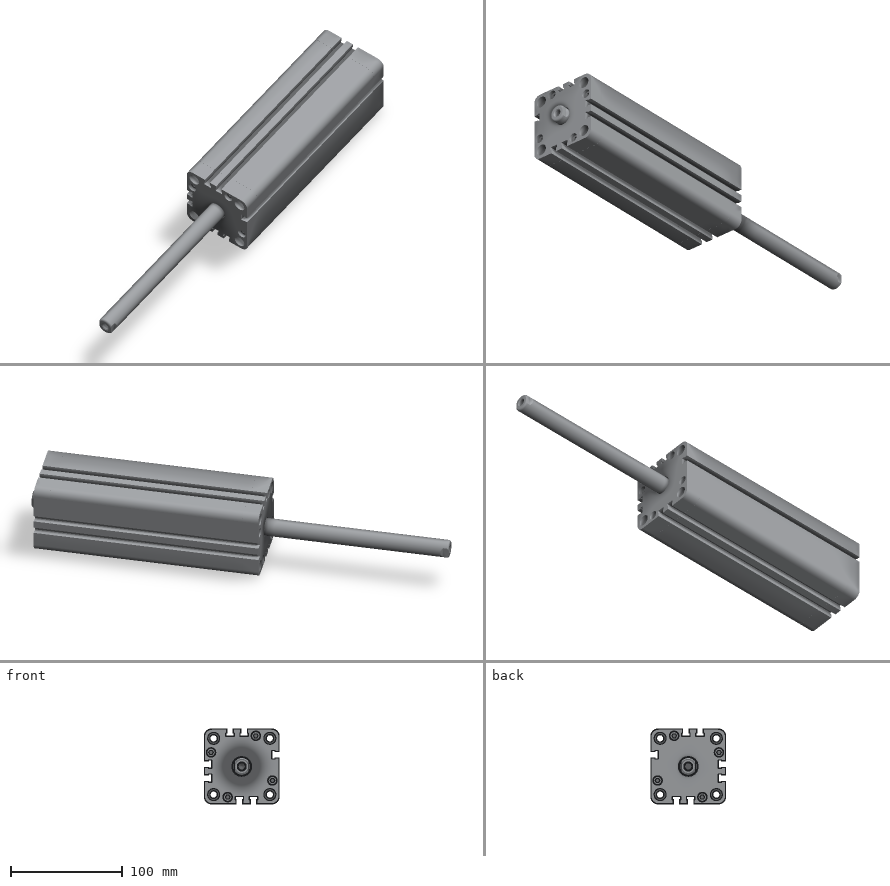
import cadquery as cq

total_length = 380.5
body_size = 67.0
body_length = 205.0
rear_rod_length = 7.5
corner_radius = 7.0

rear_y = total_length / 2
body_rear_y = rear_y - rear_rod_length
body_front_y = body_rear_y - body_length
front_y = rear_y - total_length
half_size = body_size / 2

cap_length = 15.0
parting_width = 0.15
parting_depth = 0.08

slot_opening = 5.7
slot_inner_width = 7.2
slot_lip = 3.8
slot_depth = 6.5
slot_pitch = 12.5
slot_near_offset = 2.1
slot_far_offset = slot_near_offset - slot_pitch

mount_offset = 25.0
mount_diameter = 6.5
mount_counterbore_diameter = 10.5
mount_counterbore_depth = cap_length

screw_edge_offset = 27.5
screw_side_offset = 12.5
screw_recess_diameter = 8.5
screw_recess_depth = 3.0
screw_head_diameter = 7.5
screw_head_gap_depth = 4.5
socket_across_corners = 4.0
socket_depth = 2.3

rod_diameter = 16.0
rod_clearance_diameter = 17.5
rod_clearance_depth = 3.8
rod_end_radius = 1.7
flat_width = 13.0
flat_length = 5.0
flat_run_out = 2.3
thread_diameter = 6.5
thread_mouth_diameter = 8.0
thread_depth = 19.0
drill_tip_length = 2.0

SCREW_POSITIONS = (
    (screw_side_offset, screw_edge_offset),
    (screw_edge_offset, -screw_side_offset),
    (-screw_side_offset, -screw_edge_offset),
    (-screw_edge_offset, screw_side_offset),
)
QUARTER_TURNS = (0, 90, 180, 270)
END_FACES = ((body_front_y, 1), (body_rear_y, -1))
ROD_ENDS = ((front_y, 1), (rear_y, -1))


def cylinder(x, y, z, diameter, length):
    """Cylinder along Y from y to y + length; the length may be negative."""
    return cq.Workplane("XZ", origin=(x, y, z)).circle(diameter / 2).extrude(-length)


def box(width, height, y_start, y_end):
    """Box centred on the Y axis."""
    length = y_end - y_start
    return cq.Workplane("XY").box(width, length, height).translate((0, (y_start + y_end) / 2, 0))


def turned(shape, angle):
    return shape.rotate((0, 0, 0), (0, 1, 0), angle)


def make_body():
    body = box(body_size, body_size, body_front_y, body_rear_y)
    return body.edges("|Y").fillet(corner_radius)


def t_slot(offset, y_start=body_front_y, y_end=body_rear_y, growth=0.0):
    """T-slot open to the +Z side; growth offsets all its walls outwards."""
    floor_z = half_size - slot_depth - growth
    ledge_z = half_size - slot_lip + growth
    half_mouth = slot_opening / 2 + growth
    half_channel = slot_inner_width / 2 + growth
    outline = [
        (offset - half_mouth, half_size),
        (offset - half_mouth, ledge_z),
        (offset - half_channel, ledge_z),
        (offset - half_channel, floor_z),
        (offset + half_channel, floor_z),
        (offset + half_channel, ledge_z),
        (offset + half_mouth, ledge_z),
        (offset + half_mouth, half_size),
    ]
    section = cq.Workplane("XZ", origin=(0, y_start, 0)).polyline(outline).close()
    return section.extrude(y_start - y_end)


def cut_slots(shape, **slot_options):
    for angle in QUARTER_TURNS:
        shape = shape.cut(turned(t_slot(slot_far_offset, **slot_options), angle))
        if angle != 90:
            shape = shape.cut(turned(t_slot(slot_near_offset, **slot_options), angle))
    return shape


def cut_parting_groove(shape, y):
    """Shallow groove around the outside and along the slot walls."""
    inner_size = body_size - 2 * parting_depth
    y_start = y - parting_width / 2
    y_end = y + parting_width / 2
    core = box(inner_size, inner_size, y_start, y_end)
    core = core.edges("|Y").fillet(corner_radius - parting_depth)
    shape = shape.cut(box(body_size, body_size, y_start, y_end).cut(core))
    return cut_slots(shape, y_start=y_start, y_end=y_end, growth=parting_depth)


def mount_hole():
    """Hole through the whole body, counterbored from both end faces."""
    hole = cylinder(mount_offset, body_front_y, mount_offset, mount_diameter, body_length)
    for face_y, inward in END_FACES:
        depth = inward * mount_counterbore_depth
        hole = hole.union(
            cylinder(mount_offset, face_y, mount_offset, mount_counterbore_diameter, depth)
        )
    return hole


def screw_recess(x, z, face_y, inward):
    """Recess around a screw head, together with the hexagon socket in the head."""
    recess = cylinder(x, face_y, z, screw_recess_diameter, inward * screw_head_gap_depth)
    head_y = face_y + inward * screw_recess_depth
    head_length = inward * (screw_head_gap_depth - screw_recess_depth)
    recess = recess.cut(cylinder(x, head_y, z, screw_head_diameter, head_length))
    socket = (
        cq.Workplane("XZ", origin=(x, face_y, z))
        .polygon(6, socket_across_corners)
        .extrude(-inward * (screw_recess_depth + socket_depth))
    )
    return recess.union(socket)


def threaded_bore(end_y, inward):
    """Bore in a rod end with a countersunk mouth and a conical bottom."""
    radius = thread_diameter / 2
    mouth_radius = thread_mouth_diameter / 2
    mouth_depth = mouth_radius - radius
    return (
        cq.Workplane("XY")
        .moveTo(0, end_y)
        .lineTo(mouth_radius, end_y)
        .lineTo(radius, end_y + inward * mouth_depth)
        .lineTo(radius, end_y + inward * thread_depth)
        .lineTo(0, end_y + inward * (thread_depth + drill_tip_length))
        .close()
        .revolve(360, (0, 0, 0), (0, 1, 0))
    )


def wrench_flat(end_y, inward):
    """Material removed on the +X side of a rod end, with a sloping run-out."""
    flat_x = flat_width / 2
    outer_x = rod_diameter / 2
    flat_end_y = end_y + inward * flat_length
    outline = [
        (flat_x, end_y),
        (outer_x, end_y),
        (outer_x, flat_end_y + inward * flat_run_out),
        (flat_x, flat_end_y),
    ]
    return cq.Workplane("XY").polyline(outline).close().extrude(rod_diameter / 2, both=True)


def make_rod():
    rod = cylinder(0, front_y, 0, rod_diameter, total_length)
    rod = rod.faces("<Y or >Y").fillet(rod_end_radius)
    for end_y, inward in ROD_ENDS:
        for angle in (0, 180):
            rod = rod.cut(turned(wrench_flat(end_y, inward), angle))
        rod = rod.cut(threaded_bore(end_y, inward))
    return rod


body = cut_slots(make_body())

for seam_y in (body_front_y + cap_length, body_rear_y - cap_length):
    body = cut_parting_groove(body, seam_y)

for angle in QUARTER_TURNS:
    body = body.cut(turned(mount_hole(), angle))

for face_y, inward in END_FACES:
    for x, z in SCREW_POSITIONS:
        body = body.cut(screw_recess(x, z, face_y, inward))
    body = body.cut(cylinder(0, face_y, 0, rod_clearance_diameter, inward * rod_clearance_depth))

result = body.union(make_rod())